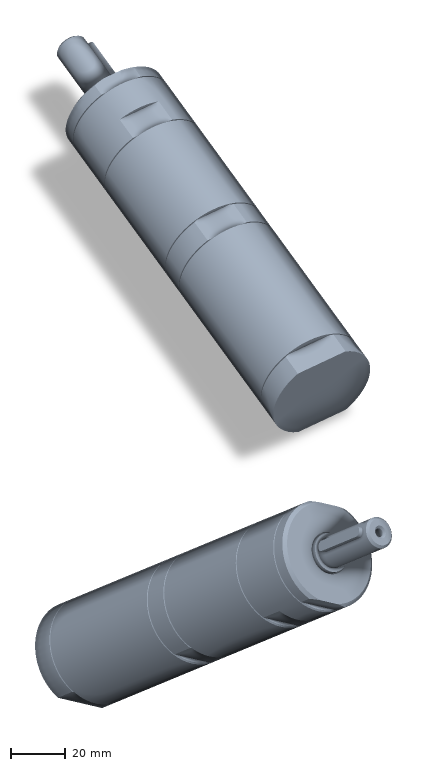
import cadquery as cq
import math

length = 184.2
body_diameter = 41.5

front_face = 31.5
sleeve_start = 37.5
sleeve_end = 50.8
gearbox_start = 60.6
gearbox_end = 105.0
motor_start = 115.1
motor_end = 174.8

front_diameter = 38.7
front_chamfer_length = 1.1
seam_chamfer = 0.5

flat_width = 38.0
rear_flat_width = 36.1

seal_diameter = 15.0
seal_bore_diameter = 16.0
seal_projection = 1.3
seal_gap_depth = 1.0

shaft_diameter = 12.0
shaft_chamfer = 1.0
hole_diameter = 3.3
hole_depth = 9.2
hole_tip_angle = 118.0
countersink_diameter = 5.0
countersink_angle = 90.0

key_start = 3.0
key_length = 25.0
key_width = 4.0
key_height = 4.0
key_top = 7.5


def cylinder(start, end, diameter):
    """Solid cylinder on the motor axis between two X stations."""
    return cq.Workplane("YZ", origin=(start, 0, 0)).circle(diameter / 2).extrude(end - start)


def revolve_profile(points):
    """Turn an (X, radius) outline about the motor axis."""
    return cq.Workplane("XY").polyline(points).close().revolve(360, (0, 0, 0), (1, 0, 0))


def housing_section(start, end):
    """Full-diameter section with a small chamfer around its front edge."""
    return cylinder(start, end, body_diameter).faces("<X").edges().chamfer(seam_chamfer)


def flats_cut(start, end, width):
    """Pair of slabs that leave the housing `width` tall between two X stations."""
    slab = cq.Workplane("XY").box(end - start, body_diameter, body_diameter)
    offset = (width + body_diameter) / 2
    middle = (start + end) / 2
    return slab.translate((middle, 0, offset)).union(slab.translate((middle, 0, -offset)))


def make_housing():
    body_radius = body_diameter / 2
    housing = revolve_profile([
        (front_face, 0),
        (front_face, front_diameter / 2),
        (front_face + front_chamfer_length, body_radius),
        (sleeve_start, body_radius),
        (sleeve_start, 0),
    ])
    stations = [sleeve_start, gearbox_start, gearbox_end, motor_start, motor_end, length]
    for start, end in zip(stations, stations[1:]):
        housing = housing.union(housing_section(start, end))

    flats = [
        (front_face, sleeve_start, flat_width),
        (sleeve_end, gearbox_start, flat_width),
        (gearbox_end, motor_start, flat_width),
        (motor_end, length, rear_flat_width),
    ]
    for start, end, width in flats:
        housing = housing.cut(flats_cut(start, end, width))
    return housing


def add_seal(housing):
    gap_bottom = front_face + seal_gap_depth
    bore = cylinder(front_face, gap_bottom, seal_bore_diameter)
    seal = cylinder(front_face - seal_projection, gap_bottom, seal_diameter)
    return housing.cut(bore).union(seal)


def make_shaft():
    shaft = cylinder(0, front_face + seal_gap_depth, shaft_diameter)
    return shaft.faces("<X").edges().chamfer(shaft_chamfer)


def make_key():
    return (
        cq.Workplane("XZ", origin=(key_start + key_length / 2, key_top, 0))
        .slot2D(key_length, key_width)
        .extrude(key_height)
    )


def make_centre_hole():
    hole_radius = hole_diameter / 2
    countersink_radius = countersink_diameter / 2
    countersink_step = countersink_radius - hole_radius
    countersink_depth = countersink_step / math.tan(math.radians(countersink_angle / 2))
    tip_length = hole_radius / math.tan(math.radians(hole_tip_angle / 2))
    return revolve_profile([
        (0, 0),
        (0, countersink_radius),
        (countersink_depth, hole_radius),
        (hole_depth, hole_radius),
        (hole_depth + tip_length, 0),
    ])


motor = add_seal(make_housing()).union(make_shaft()).union(make_key())
result = motor.cut(make_centre_hole())